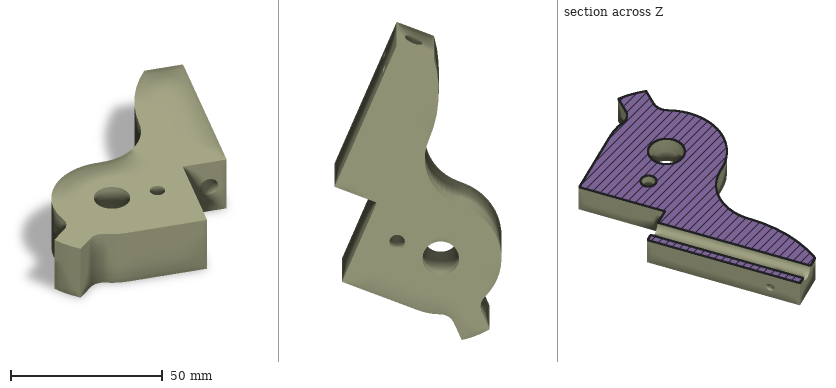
import cadquery as cq
import math

THICKNESS = 20.0

HUB_RADIUS = 20.0
PIVOT_BORE_DIAMETER = 12.0
PIN_HOLE_DIAMETER = 5.1
PIN_HOLE_Y = 15.5
SHOULDER_Y = 27.0

ARM_END_X = -65.0
ARM_TOP_Y = 42.0
STEP_X = -10.5
NECK_RADIUS = 17.5
NECK_CENTER_Y = 2.0
BELLY_RADIUS = 45.5

TAB_ANGLE = -45.0
TAB_WIDTH = 10.0
TAB_REACH = 30.0
TAB_FILLET = 5.0

ROD_HOLE_DIAMETER = 6.2
ROD_HOLE_DROP = 6.0

SCREW_HOLE_DIAMETER = 3.0
SCREW_HEAD_DIAMETER = 6.0
SCREW_INSET = 10.5
SCREW_SPACING = 11.2
SCREW_SEAT_Y = 25.0

FULL_TURN = 360.0
HALF_TURN = 180.0
DOWN = -90.0
NECK_MIDDLE = 45.0


def point_on_circle(center, radius, angle):
    """Point on a circle at an angle in degrees."""
    turn = math.radians(angle)
    return (center[0] + radius * math.cos(turn), center[1] + radius * math.sin(turn))


def make_body():
    """Hub and arm: straight top edges, with tangent arcs along the underside."""
    neck_center = (-HUB_RADIUS - NECK_RADIUS, NECK_CENTER_Y)
    neck_top = (neck_center[0], NECK_CENTER_Y + NECK_RADIUS)
    belly_center = (neck_top[0], neck_top[1] + BELLY_RADIUS)
    belly_run = belly_center[0] - ARM_END_X
    belly_sweep = math.degrees(math.asin(belly_run / BELLY_RADIUS))
    arm_corner = point_on_circle(belly_center, BELLY_RADIUS, DOWN - belly_sweep)
    return (
        cq.Workplane("XY")
        .moveTo(ARM_END_X, ARM_TOP_Y)
        .lineTo(STEP_X, ARM_TOP_Y)
        .lineTo(STEP_X, SHOULDER_Y)
        .lineTo(HUB_RADIUS, SHOULDER_Y)
        .lineTo(HUB_RADIUS, 0)
        .threePointArc((0, -HUB_RADIUS), (-HUB_RADIUS, 0))
        .lineTo(-HUB_RADIUS, NECK_CENTER_Y)
        .threePointArc(point_on_circle(neck_center, NECK_RADIUS, NECK_MIDDLE), neck_top)
        .threePointArc(point_on_circle(belly_center, BELLY_RADIUS, DOWN - belly_sweep / 2), arm_corner)
        .close()
        .extrude(THICKNESS)
    )


def make_tab():
    """Tab with concave fillets that blend tangentially into the hub."""
    half_width = TAB_WIDTH / 2
    end_x = math.sqrt(TAB_REACH**2 - half_width**2)
    fillet_y = half_width + TAB_FILLET
    fillet_x = math.sqrt((HUB_RADIUS + TAB_FILLET) ** 2 - fillet_y**2)
    hub_share = HUB_RADIUS / (HUB_RADIUS + TAB_FILLET)
    root_x = fillet_x * hub_share
    root_y = fillet_y * hub_share
    fillet_start = math.degrees(math.atan2(fillet_y, fillet_x))
    toward_hub = fillet_start + HALF_TURN
    toward_tab = DOWN + FULL_TURN
    middle_angle = (toward_hub + toward_tab) / 2
    blend_x, blend_y = point_on_circle((fillet_x, fillet_y), TAB_FILLET, middle_angle)
    return (
        cq.Workplane("XY")
        .lineTo(root_x, -root_y)
        .threePointArc((blend_x, -blend_y), (fillet_x, -half_width))
        .lineTo(end_x, -half_width)
        .threePointArc((TAB_REACH, 0), (end_x, half_width))
        .lineTo(fillet_x, half_width)
        .threePointArc((blend_x, blend_y), (root_x, root_y))
        .close()
        .extrude(THICKNESS)
        .rotate((0, 0, 0), (0, 0, 1), TAB_ANGLE)
    )


def cylinder(diameter, start, direction, length):
    """Cylinder from a start point along a direction."""
    return cq.Workplane(
        cq.Solid.makeCylinder(diameter / 2, length, cq.Vector(*start), cq.Vector(*direction))
    )


def cut_hub_holes(part):
    """Pivot bore and pin hole, both through the thickness."""
    for diameter, y in ((PIVOT_BORE_DIAMETER, 0), (PIN_HOLE_DIAMETER, PIN_HOLE_Y)):
        part = part.cut(cylinder(diameter, (0, y, 0), (0, 0, 1), THICKNESS))
    return part


def cut_rod_hole(part):
    """Lengthwise hole from the arm end out through the step."""
    start = (ARM_END_X, ARM_TOP_Y - ROD_HOLE_DROP, THICKNESS / 2)
    return part.cut(cylinder(ROD_HOLE_DIAMETER, start, (1, 0, 0), STEP_X - ARM_END_X))


def cut_screw_holes(part):
    """Screw holes through the arm along Y, counterbored from the underside."""
    x = ARM_END_X + SCREW_INSET
    for side in (-1, 1):
        z = THICKNESS / 2 + side * SCREW_SPACING / 2
        shank = cylinder(SCREW_HOLE_DIAMETER, (x, 0, z), (0, 1, 0), ARM_TOP_Y)
        head = cylinder(SCREW_HEAD_DIAMETER, (x, 0, z), (0, 1, 0), SCREW_SEAT_Y)
        part = part.cut(shank).cut(head)
    return part


result = make_body().union(make_tab())
result = cut_hub_holes(result)
result = cut_rod_hole(result)
result = cut_screw_holes(result)